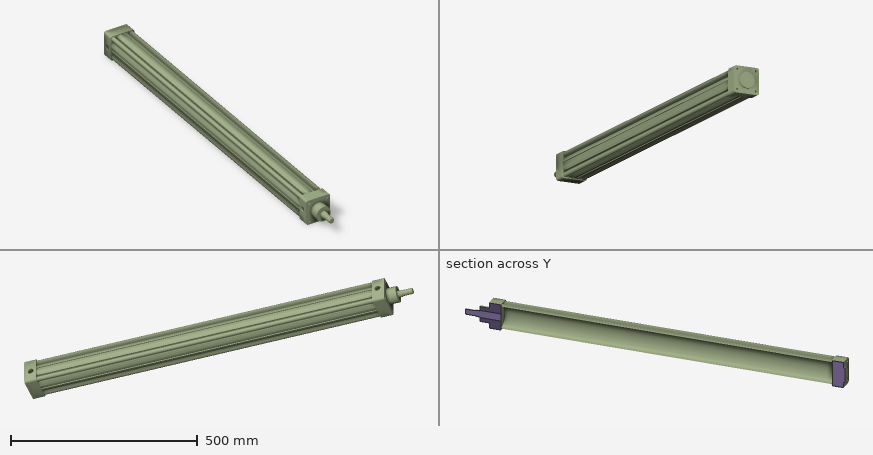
import cadquery as cq
import math

total_length = 1094.0
spigot_length = 4.0
cap_length = 34.0
front_cap_end = 1025.0
collar_length = 27.0
rod_shoulder_length = 10.0
rod_taper_length = 4.0
tip_chamfer = 1.0

cap_side = 75.0
cap_corner_radius = 7.0
spigot_diameter = 45.0
port_diameter = 16.0
port_depth = 11.0
port_inset = 19.0
port_offset = 3.0
screw_hole_diameter = 7.0
screw_hole_depth = 16.0
screw_spacing = 56.0

bore_diameter = 63.0
tube_diameter = 67.0
lobe_diameter = 72.0
lobe_width = 35.0
slot_width = 11.0
corner_rib_width = 12.0
corner_rib_spacing = 58.0

rod_diameter = 20.0
thread_diameter = 16.0

rear_cap_start = spigot_length
barrel_start = rear_cap_start + cap_length
front_cap_start = front_cap_end - cap_length
barrel_length = front_cap_start - barrel_start
collar_end = front_cap_end + collar_length
rod_shoulder_end = collar_end + rod_shoulder_length
thread_start = rod_shoulder_end + rod_taper_length


def section_plane(x):
    """Plane facing +X at the given x, with its local x along Y and local y along Z."""
    return cq.Workplane("YZ", origin=(x, 0, 0))


def round_bar(x, length, diameter):
    """Round bar centred on the X axis."""
    return section_plane(x).circle(diameter / 2).extrude(length)


def cap_block(x):
    """Square cap with rounded long corners."""
    block = section_plane(x).rect(cap_side, cap_side).extrude(cap_length)
    return block.edges("|X").fillet(cap_corner_radius)


def screw_holes(x, depth):
    """Four screw holes; a negative depth runs toward -X."""
    corners = section_plane(x).rect(screw_spacing, screw_spacing, forConstruction=True).vertices()
    return corners.circle(screw_hole_diameter / 2).extrude(depth)


def port(x, z):
    """Blind air port drilled into the -Y side of a cap."""
    side = cq.Workplane("XZ", origin=(x, -cap_side / 2, z))
    return side.circle(port_diameter / 2).extrude(-port_depth)


def make_rear_cap():
    cap = cap_block(rear_cap_start)
    cap = cap.union(round_bar(0, spigot_length, spigot_diameter))
    cap = cap.cut(screw_holes(rear_cap_start, screw_hole_depth))
    return cap.cut(port(rear_cap_start + port_inset, -port_offset))


def make_front_cap():
    cap = cap_block(front_cap_start)
    cap = cap.union(round_bar(front_cap_end, collar_length, spigot_diameter))
    cap = cap.cut(screw_holes(front_cap_end, -screw_hole_depth))
    cap = cap.cut(port(front_cap_end - port_inset, port_offset))
    return cap.cut(round_bar(front_cap_start, cap_length + collar_length, rod_diameter))


def barrel_lobes():
    """Raised pads on all four sides, each split along its middle by a slot."""
    rail_width = (lobe_width - slot_width) / 2
    rail_offset = (lobe_width + slot_width) / 4
    rail_centres = [(0, rail_offset), (0, -rail_offset)]
    plane = section_plane(barrel_start)
    rails = plane.pushPoints(rail_centres).rect(lobe_diameter, rail_width).extrude(barrel_length)
    rails = rails.union(rails.rotate((0, 0, 0), (1, 0, 0), 90))
    return rails.intersect(round_bar(barrel_start, barrel_length, lobe_diameter))


def corner_rib(angle):
    """Diagonal web through the axis with a rounded rib at each end."""
    length = math.sqrt(2) * corner_rib_spacing + corner_rib_width
    plane = section_plane(barrel_start)
    return plane.slot2D(length, corner_rib_width, angle).extrude(barrel_length)


def make_barrel():
    barrel = round_bar(barrel_start, barrel_length, tube_diameter)
    barrel = barrel.union(barrel_lobes())
    for angle in (45, 135):
        barrel = barrel.union(corner_rib(angle))
    return barrel.cut(round_bar(barrel_start, barrel_length, bore_diameter))


def make_piston_rod():
    """Revolved rod with a tapered step down to its threaded tip."""
    rod_radius = rod_diameter / 2
    thread_radius = thread_diameter / 2
    half_outline = (
        cq.Workplane("XY")
        .moveTo(front_cap_start, 0)
        .lineTo(front_cap_start, rod_radius)
        .lineTo(rod_shoulder_end, rod_radius)
        .lineTo(thread_start, thread_radius)
        .lineTo(total_length - tip_chamfer, thread_radius)
        .lineTo(total_length, thread_radius - tip_chamfer)
        .lineTo(total_length, 0)
        .close()
    )
    return half_outline.revolve(360, (0, 0, 0), (1, 0, 0))


rear_cap = make_rear_cap()
barrel = make_barrel()
front_cap = make_front_cap()
piston_rod = make_piston_rod()

result = cq.Compound.makeCompound(
    [rear_cap.val(), barrel.val(), front_cap.val(), piston_rod.val()]
)